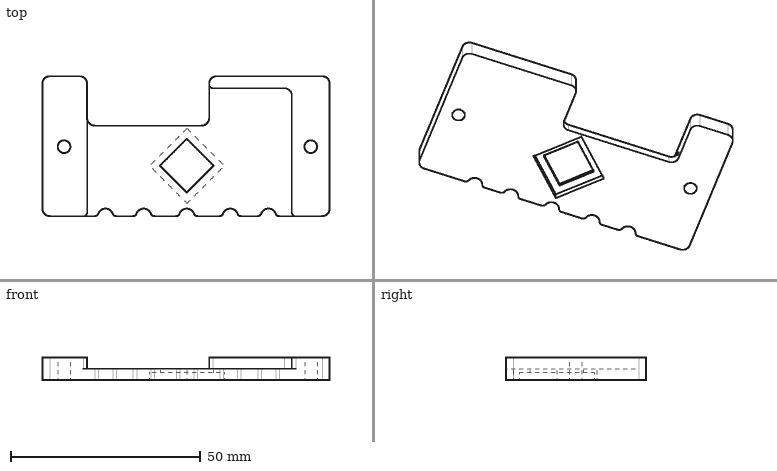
import cadquery as cq
import math

length = 76.0
width = 37.07
height = 6.0
plate_thickness = 3.0
corner_radius = 2.0
entry_radius = 1.0

notch_left = 11.85
notch_right = 44.1
notch_front = 24.0

recess_right = 66.0
back_wall = 3.2

hole_diameter = 3.3
hole_y = 18.4
hole_positions_x = [5.75, 71.0]

window_x = 38.2
window_angle = 45.0
window_side = 10.0
window_y = 13.4
pocket_side = 14.0
window_lip = 1.0

scallop_radius = 2.0
scallop_offsets = [-21.5, -11.4, 0.0, 11.5, 21.6]


def make_body():
    """Full-height slab with the back notch and rounded vertical corners."""
    slab = cq.Workplane("XY").rect(length, width, centered=False).extrude(height)
    notch = (
        cq.Workplane("XY")
        .moveTo(notch_left, notch_front)
        .rect(notch_right - notch_left, width, centered=False)
        .extrude(height)
    )
    body = slab.cut(notch)
    return body.edges("|Z").fillet(corner_radius)


def make_recess():
    """Volume removed above the plate, with rounded inner and entry corners."""
    recess_back = width - back_wall
    return (
        cq.Workplane("XY", origin=(0, 0, plate_thickness))
        .moveTo(notch_left - entry_radius, 0)
        .radiusArc((notch_left, entry_radius), -entry_radius)
        .lineTo(notch_left, width)
        .lineTo(notch_right, width)
        .lineTo(notch_right, recess_back + entry_radius)
        .radiusArc((notch_right + entry_radius, recess_back), -entry_radius)
        .lineTo(recess_right - corner_radius, recess_back)
        .radiusArc((recess_right, recess_back - corner_radius), corner_radius)
        .lineTo(recess_right, entry_radius)
        .radiusArc((recess_right + entry_radius, 0), -entry_radius)
        .close()
        .extrude(height)
    )


def make_scallop(x):
    """Half-round edge cut whose mouth is blended into the front face."""
    reach = scallop_radius + entry_radius
    mouth = math.sqrt(reach**2 - entry_radius**2)
    share = scallop_radius / reach
    tangent_x = mouth * share
    tangent_y = entry_radius * share
    return (
        cq.Workplane("XY")
        .moveTo(x - mouth, 0)
        .radiusArc((x - tangent_x, tangent_y), -entry_radius)
        .threePointArc((x, scallop_radius), (x + tangent_x, tangent_y))
        .radiusArc((x + mouth, 0), -entry_radius)
        .close()
        .extrude(height)
    )


def make_turned_square(side, depth):
    """Square prism standing on its corner, rising from the underside."""
    return (
        cq.Workplane("XY", origin=(window_x, window_y, 0))
        .transformed(rotate=(0, 0, window_angle))
        .rect(side, side)
        .extrude(depth)
    )


def make_window():
    """Square through-opening with a wider pocket below its lip."""
    opening = make_turned_square(window_side, height)
    pocket = make_turned_square(pocket_side, plate_thickness - window_lip)
    return opening.union(pocket)


def make_holes():
    """Mounting holes through both raised blocks."""
    return (
        cq.Workplane("XY")
        .pushPoints([(x, hole_y) for x in hole_positions_x])
        .circle(hole_diameter / 2)
        .extrude(height)
    )


result = make_body().cut(make_recess()).cut(make_window()).cut(make_holes())
for offset in scallop_offsets:
    result = result.cut(make_scallop(window_x + offset))